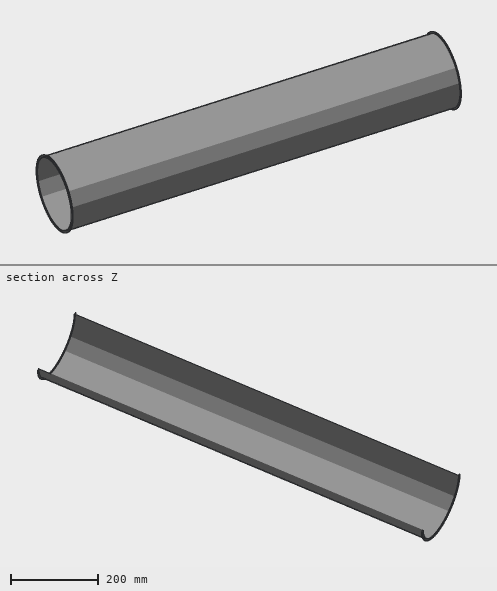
import cadquery as cq

length = 988.0
bore_diameter = 174.0
tube_diameter = 178.0
flange_diameter = 186.0
flange_thickness = 2.0


def cylinder_along_y(diameter, start, depth):
    """Solid cylinder on the Y axis, from y = start to y = start + depth."""
    return cq.Workplane("XZ", origin=(0, start, 0)).circle(diameter / 2).extrude(-depth)


body = cylinder_along_y(tube_diameter, -length / 2, length)
for flange_start in (-length / 2, length / 2 - flange_thickness):
    body = body.union(cylinder_along_y(flange_diameter, flange_start, flange_thickness))

result = body.cut(cylinder_along_y(bore_diameter, -length / 2, length))